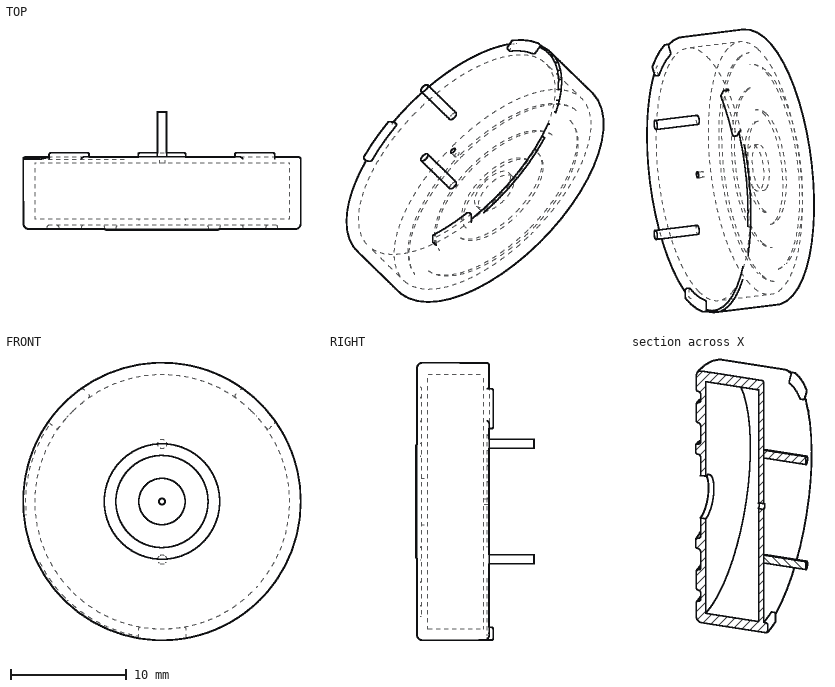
import cadquery as cq
import math

HOUSING_RADIUS = 12.0
FRONT_Y = 0.07
BACK_Y = 6.3
FRONT_EDGE_RADIUS = 0.5

STEP_ARC_RADIUS = 0.2
OUTER_GROOVE_OUTER = 9.95
OUTER_GROOVE_INNER = 8.95
INNER_GROOVE_OUTER = 6.98
INNER_GROOVE_INNER = 5.0
CENTRE_DISH_RADIUS = 3.98
CREST_Y = 0.0
FLOOR_Y = FRONT_Y + 2 * STEP_ARC_RADIUS

WALL = 0.5
CAVITY_RADIUS = 22.0 / 2
CAVITY_FRONT_Y = FLOOR_Y + WALL
CAVITY_BACK_Y = BACK_Y - WALL
SOUND_PORT_RADIUS = 4.0 / 2
VENT_RADIUS = 0.5 / 2

FOOT_INNER_RADIUS = 22.0 / 2
FOOT_TOP_Y = 6.7
FOOT_WIDTH = 4.13
FOOT_HEIGHT = FOOT_TOP_Y - BACK_Y
FOOT_ANGLES = (45.0, 135.0, 270.0)
BACK_EDGE_RADIUS = 0.2
CUTTER_MARGIN = 1.2

PIN_RADIUS = 0.8 / 2
PIN_OFFSET = 5.0
PIN_TIP_Y = 10.2


def add_step(profile, radius, start_y, end_y):
    """Draw an inward step as two tangent arcs meeting on the given radius."""
    middle_y = (start_y + end_y) / 2
    half_rise = (end_y - start_y) / 2
    run = STEP_ARC_RADIUS
    bulge = math.sqrt(0.5)
    first_middle = (radius + run * (1 - bulge), start_y + half_rise * (1 - bulge))
    second_middle = (radius - run * (1 - bulge), end_y - half_rise * (1 - bulge))
    return (
        profile.lineTo(radius + run, start_y)
        .threePointArc(first_middle, (radius, middle_y))
        .threePointArc(second_middle, (radius - run, end_y))
    )


def make_blank():
    """The solid disc, as tall as the feet, with the stepped front face."""
    arc_offset = FRONT_EDGE_RADIUS * (1 - math.sqrt(0.5))
    profile = (
        cq.Workplane("XY")
        .moveTo(0, FOOT_TOP_Y)
        .lineTo(HOUSING_RADIUS, FOOT_TOP_Y)
        .lineTo(HOUSING_RADIUS, FRONT_Y + FRONT_EDGE_RADIUS)
        .threePointArc(
            (HOUSING_RADIUS - arc_offset, FRONT_Y + arc_offset),
            (HOUSING_RADIUS - FRONT_EDGE_RADIUS, FRONT_Y),
        )
    )
    profile = add_step(profile, OUTER_GROOVE_OUTER, FRONT_Y, FLOOR_Y)
    profile = add_step(profile, OUTER_GROOVE_INNER, FLOOR_Y, FRONT_Y)
    profile = add_step(profile, INNER_GROOVE_OUTER, FRONT_Y, FLOOR_Y)
    profile = add_step(profile, INNER_GROOVE_INNER, FLOOR_Y, CREST_Y)
    profile = add_step(profile, CENTRE_DISH_RADIUS, CREST_Y, FLOOR_Y)
    return profile.lineTo(0, FLOOR_Y).close().revolve(360, (0, 0), (0, 1))


def cylinder_along_y(radius, start_y, end_y, z=0.0):
    return cq.Workplane("XZ", origin=(0, start_y, z)).circle(radius).extrude(start_y - end_y)


def make_foot_keeper(angle):
    """The region around one foot: parallel sides, a curved inner side and open outward."""
    length = HOUSING_RADIUS - FOOT_INNER_RADIUS + 2 * CUTTER_MARGIN
    block = (
        cq.Workplane("XY", origin=(FOOT_INNER_RADIUS - CUTTER_MARGIN, BACK_Y, 0))
        .box(length, FOOT_HEIGHT + CUTTER_MARGIN, FOOT_WIDTH, centered=(False, False, True))
    )
    inside = cylinder_along_y(FOOT_INNER_RADIUS, BACK_Y, FOOT_TOP_Y + CUTTER_MARGIN)
    return block.cut(inside).rotate((0, 0, 0), (0, 1, 0), -angle)


def cut_back_between_feet(blank):
    """Lower the back face everywhere except at the feet."""
    cutter = cylinder_along_y(HOUSING_RADIUS + CUTTER_MARGIN, BACK_Y, FOOT_TOP_Y)
    for angle in FOOT_ANGLES:
        cutter = cutter.cut(make_foot_keeper(angle))
    return blank.cut(cutter)


def is_rounded_back_edge(edge):
    """True for foot tops, foot corners and the outer rim; false at the feet's inner base."""
    tolerance = 0.002
    height = edge.Center().y - BACK_Y
    if height > tolerance:
        return True
    on_back_face = abs(height) < tolerance
    return on_back_face and edge.geomType() == "CIRCLE" and abs(edge.radius() - HOUSING_RADIUS) < tolerance


def round_back_edges(body):
    solid = body.solids().val()
    edges = [edge for edge in solid.Edges() if is_rounded_back_edge(edge)]
    return cq.Workplane("XY").add(solid.fillet(BACK_EDGE_RADIUS, edges))


def make_housing():
    housing = round_back_edges(cut_back_between_feet(make_blank()))
    housing = housing.cut(cylinder_along_y(CAVITY_RADIUS, CAVITY_FRONT_Y, CAVITY_BACK_Y))
    housing = housing.cut(cylinder_along_y(SOUND_PORT_RADIUS, CREST_Y, CAVITY_FRONT_Y))
    return housing.cut(cylinder_along_y(VENT_RADIUS, CAVITY_BACK_Y, BACK_Y))


def make_pin(z):
    """A round terminal standing on the back face."""
    return cylinder_along_y(PIN_RADIUS, BACK_Y, PIN_TIP_Y, z)


housing = make_housing()
pins = [make_pin(z) for z in (-PIN_OFFSET, PIN_OFFSET)]

result = cq.Compound.makeCompound([housing.solids().val(), *[pin.val() for pin in pins]])